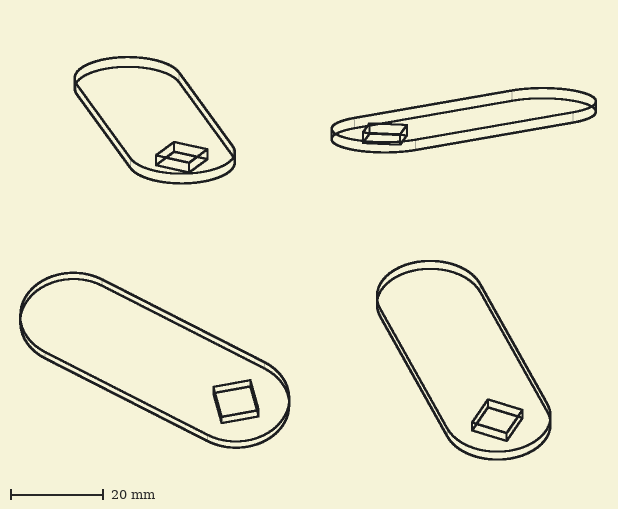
import cadquery as cq

length = 64.5
width = 23.0
thickness = 2.3
hole_side = 8.2

end_center_x = (length - width) / 2

plate = cq.Workplane("XY").slot2D(length, width).extrude(thickness)

square_hole = (
    cq.Workplane("XY")
    .transformed(offset=(end_center_x, 0, 0), rotate=(0, 0, 45))
    .rect(hole_side, hole_side)
    .extrude(thickness)
)

result = plate.cut(square_hole)